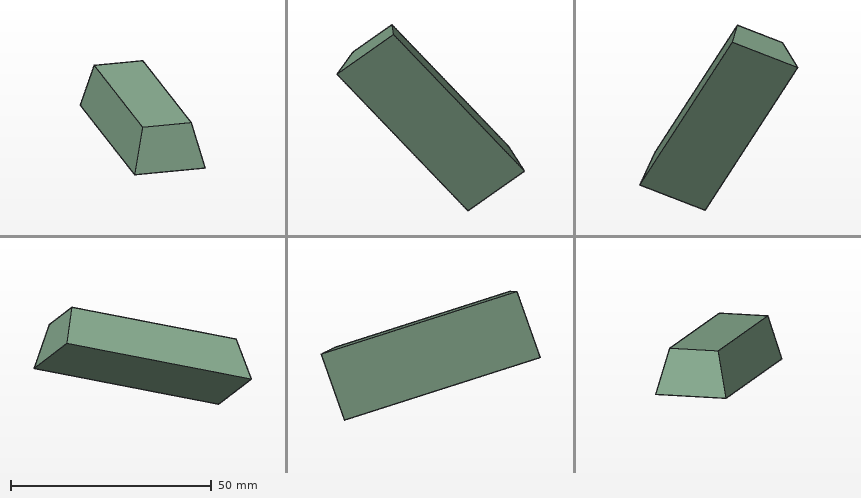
import cadquery as cq
import math

base_length = 51.64
base_width = 18.3
height = 11.4

side_angle = 14.0
side_inset = height * math.tan(math.radians(side_angle))
top_length = base_length - 2 * side_inset
top_width = base_width - 2 * side_inset


def tapered_bar():
    """Solid bar with a rectangular base and a smaller, centred rectangular top."""
    return (
        cq.Workplane("XY")
        .rect(base_length, base_width)
        .workplane(offset=height)
        .rect(top_length, top_width)
        .loft(ruled=True, combine=True)
    )


result = tapered_bar()